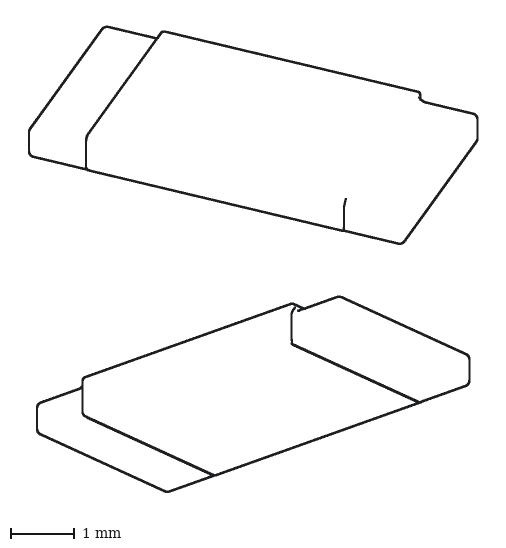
import cadquery as cq

length = 6.4
width = 3.2
height = 0.7

body_length = 4.4
terminal_height = 0.55
terminal_side_inset = 0.025
body_lift = 0.01
blank_overlap = 0.2

edge_radius = 0.1
body_end_radius = 0.05
step_radius = 0.1

terminal_width = width - 2 * terminal_side_inset
body_end_x = body_length / 2
terminal_end_x = length / 2
terminal_inner_x = body_end_x - body_end_radius
blank_inner_x = body_end_x - blank_overlap
blend_top_z = terminal_height + step_radius


def make_body():
    body_height = height - body_lift
    block = cq.Workplane("XY").box(body_length, width, body_height, centered=(True, True, False))
    block = block.translate((0, 0, body_lift))
    block = block.edges("|X").fillet(edge_radius)
    return block.faces("<X or >X").edges().fillet(body_end_radius)


def make_terminal():
    """Terminal on the +X end, with the concave blend rising to the body end face."""
    block = (
        cq.Workplane("XZ")
        .moveTo(blank_inner_x, 0)
        .lineTo(terminal_end_x, 0)
        .lineTo(terminal_end_x, terminal_height)
        .lineTo(body_end_x + step_radius, terminal_height)
        .radiusArc((body_end_x, blend_top_z), step_radius)
        .lineTo(body_end_x, height)
        .lineTo(blank_inner_x, height)
        .close()
        .extrude(terminal_width / 2, both=True)
    )
    exposed_rims = block.faces("<Y or >Y or >X").edges("not(<X or >Z)")
    block = exposed_rims.fillet(edge_radius)

    trim_length = length - body_length
    trim = cq.Workplane("XY").box(trim_length, width, blend_top_z, centered=(False, True, False))
    trim = trim.translate((terminal_inner_x, 0, 0))
    return block.intersect(trim)


terminal = make_terminal()
result = make_body().union(terminal).union(terminal.mirror("YZ"))